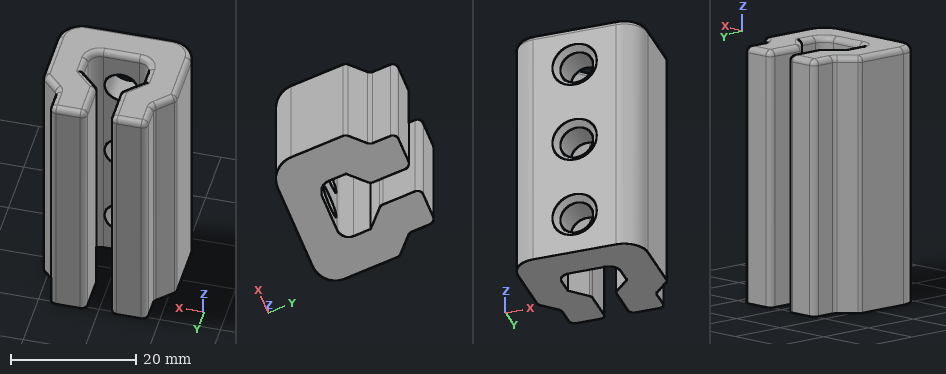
import cadquery as cq
import math

height = 42.0
half_width = 11.0
depth = 21.0
corner_radius = 4.0
edge_radius = 1.0

wall = 6.0
cavity_half_width = 5.0
cavity_corner_radius = 2.0
cavity_wall_end = 11.0
slot_half_width = 2.0
slot_start = cavity_wall_end + cavity_half_width - slot_half_width

arm_half_width = slot_half_width + wall
shoulder_sum = cavity_half_width + cavity_wall_end + wall * math.sqrt(2)
shoulder_start = shoulder_sum - half_width
shoulder_end = shoulder_sum - arm_half_width

hole_diameter = 5.5
hole_chamfer = 1.0
hole_pitch = height / 3


def round_upright_edges(body, points, radius):
    """Round the vertical edges at (+x, y) and (-x, y) for each point."""
    for x, y in points:
        for side in (-1, 1):
            nearest = cq.selectors.NearestToPointSelector((side * x, y, height / 2))
            body = body.edges("|Z").edges(nearest).fillet(radius)
    return body


def make_body():
    right_side = [
        (half_width, 0),
        (half_width, shoulder_start),
        (arm_half_width, shoulder_end),
        (arm_half_width, depth),
        (slot_half_width, depth),
        (slot_half_width, slot_start),
        (cavity_half_width, cavity_wall_end),
        (cavity_half_width, wall),
    ]
    left_side = [(-x, y) for x, y in reversed(right_side)]
    body = cq.Workplane("XY").polyline(right_side + left_side).close().extrude(height)

    body = round_upright_edges(body, [(half_width, 0)], corner_radius)
    body = round_upright_edges(body, [(cavity_half_width, wall)], cavity_corner_radius)
    body = round_upright_edges(body, right_side[1:6], edge_radius)
    return body.faces(">Z").edges().fillet(edge_radius)


def make_screw_hole(z):
    radius = hole_diameter / 2
    mouth_radius = radius + hole_chamfer
    profile = [
        (0, 0),
        (mouth_radius, 0),
        (radius, hole_chamfer),
        (radius, wall),
        (0, wall),
    ]
    hole = cq.Workplane("XY").polyline(profile).close()
    return hole.revolve(360, (0, 0, 0), (0, 1, 0)).translate((0, 0, z))


result = make_body()
for step in (-1, 0, 1):
    result = result.cut(make_screw_hole(height / 2 + step * hole_pitch))